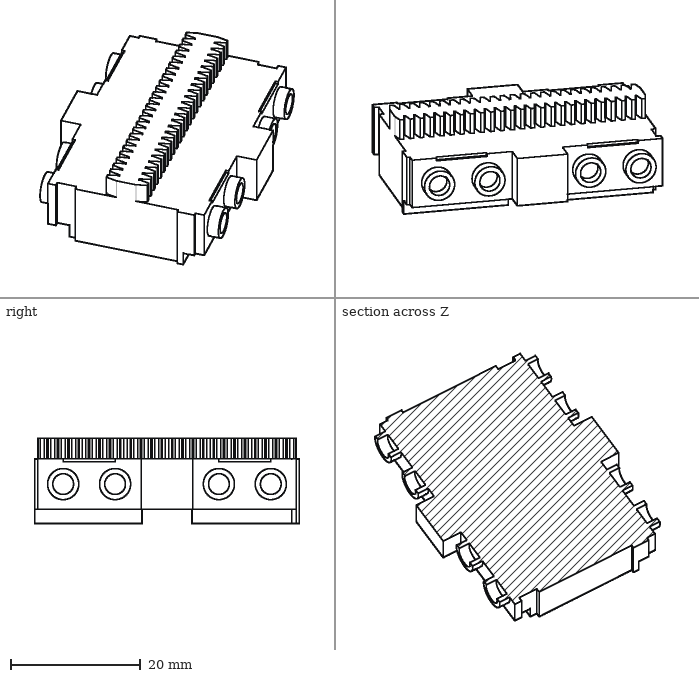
import cadquery as cq

slab_width = 25.4
slab_length = 39.8
slab_height = 7.8

lower_width = 18.9
lower_height = 2.2
channel_width = 7.65

tab_span = 31.8
tab_length = 8.0

tongue_offset = 9.85
tongue_width = 2.8
tongue_depth = 0.5
notch_width = 3.1
notch_depth = 0.7

pin_offsets = (8.0, 16.0)
pin_diameter = 4.8
pin_bore = 3.2
pin_length = 1.8

rebate_depth = 0.45

rack_height = 3.2
tooth_count = 25
tooth_pitch = 1.6
tip_half_width = 3.33
root_half_width = 1.6
tip_land = 0.6
root_land = 0.2

slab_top = lower_height + slab_height
end_face = slab_length / 2
side_face = slab_width / 2
rebate_length = pin_offsets[1] - pin_offsets[0]
rebate_offset = sum(pin_offsets) / len(pin_offsets)
pin_height = lower_height + slab_height / 2


def box(x_size, y_size, z_low, z_high, x=0.0, y=0.0):
    """Block centred on (x, y) in plan, between two heights."""
    return (
        cq.Workplane("XY", origin=(x, y, z_low))
        .rect(x_size, y_size)
        .extrude(z_high - z_low)
    )


def end_tongue(end):
    """Tongue on one end face; it reaches below the slab only above a lower block."""
    x = -end * tongue_offset
    tongue = box(tongue_width, 2 * tongue_depth, 0, slab_top, x, end * end_face)
    overall_length = slab_length + 2 * tongue_depth
    section = box(lower_width, overall_length, 0, slab_top).union(
        box(slab_width, overall_length, lower_height, slab_top)
    )
    return tongue.intersect(section)


def end_notch(end):
    """Full-height cutter for the notch beside the tongue on one end face."""
    return box(notch_width, 2 * notch_depth, 0, slab_top, end * tongue_offset, end * end_face)


def make_body():
    """Slab, side tabs and lower blocks, with the end joints."""
    body = box(slab_width, slab_length, lower_height, slab_top)
    body = body.union(box(lower_width, slab_length, 0, lower_height))
    body = body.cut(box(lower_width, channel_width, 0, lower_height))
    body = body.union(box(tab_span, tab_length, lower_height, slab_top))
    for end in (-1, 1):
        body = body.union(end_tongue(end)).cut(end_notch(end))
    return body


def side_pin(side, y):
    """Hollow pin standing on one side face."""
    return (
        cq.Workplane("YZ", origin=(side * side_face, y, pin_height))
        .circle(pin_diameter / 2)
        .circle(pin_bore / 2)
        .extrude(side * pin_length)
    )


def edge_rebate(side, end):
    """Cutter for the rebate along the upper edge between two pins."""
    return box(
        2 * rebate_depth, rebate_length,
        slab_top - rebate_depth, slab_top,
        side * side_face, end * rebate_offset,
    )


def rack_edge(side):
    """Toothed edge of the rack, from its -Y end to its +Y end."""
    root_x = side * root_half_width
    tip_x = side * tip_half_width
    half_foot = (tooth_pitch - root_land) / 2
    half_tip = tip_land / 2
    points = []
    for index in range(tooth_count):
        y = (index - (tooth_count - 1) / 2) * tooth_pitch
        points += [
            (root_x, y - half_foot),
            (tip_x, y - half_tip),
            (tip_x, y + half_tip),
            (root_x, y + half_foot),
        ]
    return points


def make_rack():
    """Rack with teeth along both long edges."""
    outline = rack_edge(1) + rack_edge(-1)[::-1]
    return (
        cq.Workplane("XY", origin=(0, 0, slab_top))
        .polyline(outline)
        .close()
        .extrude(rack_height)
    )


result = make_body().union(make_rack())
for side in (-1, 1):
    for end in (-1, 1):
        for offset in pin_offsets:
            result = result.union(side_pin(side, end * offset))
        result = result.cut(edge_rebate(side, end))